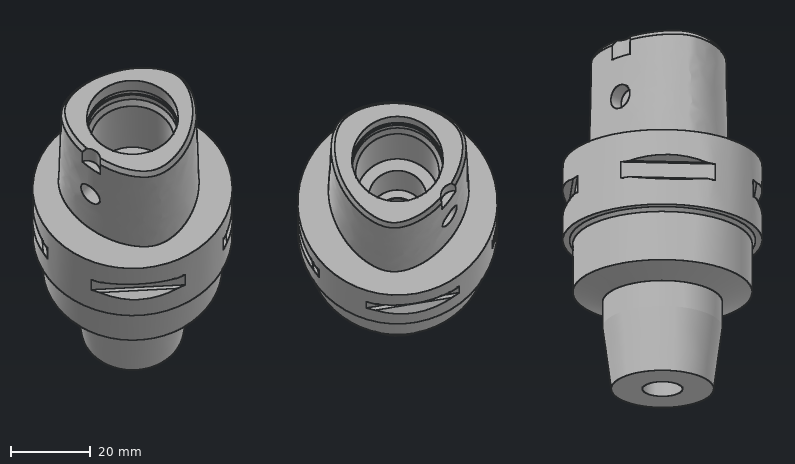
import cadquery as cq
import math

total_height = 90.0
flange_top = 60.0
flange_bottom = 40.0
flange_chamfer_end = 39.0
body_bottom = 26.0
shoulder_bottom = 23.3
nose_taper_top = 16.5

flange_radius = 25.0
flange_step_radius = 23.3
body_radius = 22.5
neck_radius = 15.0
nose_tip_radius = 12.9

shank_mean_radius = 17.6
lobe_rise = 1.125
shank_taper = 1 / 40
shank_chamfer_height = 1.35
shank_chamfer_width = 0.9
shank_outline_points = 48

mouth_radius = 11.4
bore_groove_radius = 11.9
bore_groove_start = 4.3
bore_groove_end = 6.1
mouth_depth = 8.0
mouth_cone_depth = 9.5
main_bore_radius = 10.4
main_bore_depth = 27.0
middle_bore_radius = 7.3
middle_bore_depth = 40.5
through_radius = 5.0
through_chamfer = 0.2

groove_height = 50.0
groove_floor_distance = 22.05
groove_floor_width = 4.3
groove_flare_distance = 23.0
groove_flare_angle = 30.0

notch_radius = 3.4
notch_depth = 5.2
notch_floor_y = -13.95
side_hole_radius = 3.15
side_hole_height = 74.0
side_hole_floor_y = -12.1


def lobed_point(mean_radius, angle):
    """Point of the lobed outline whose outward normal lies at this angle."""
    support = mean_radius - lobe_rise * math.sin(3 * angle)
    slope = -3 * lobe_rise * math.cos(3 * angle)
    x = support * math.cos(angle) - slope * math.sin(angle)
    y = support * math.sin(angle) + slope * math.cos(angle)
    return x, y


def lobed_outline(mean_radius, height):
    """Closed smooth lobed outline with one lobe toward +Y."""
    step = 2 * math.pi / shank_outline_points
    points = [lobed_point(mean_radius, math.pi / 2 + i * step) for i in range(shank_outline_points)]
    return cq.Workplane("XY", origin=(0, 0, height)).spline(points, periodic=True).close().val()


def make_body():
    profile = [
        (0, 0),
        (nose_tip_radius, 0),
        (neck_radius, nose_taper_top),
        (neck_radius, shoulder_bottom),
        (body_radius, body_bottom),
        (body_radius, flange_chamfer_end),
        (flange_step_radius, flange_bottom),
        (flange_radius, flange_bottom),
        (flange_radius, flange_top),
        (0, flange_top),
    ]
    return cq.Workplane("XZ").polyline(profile).close().revolve(360, (0, 0), (0, 1))


def make_shank():
    chamfer_start = total_height - shank_chamfer_height
    chamfer_radius = shank_mean_radius - shank_taper * (chamfer_start - flange_top)
    base = lobed_outline(shank_mean_radius, flange_top)
    rim = lobed_outline(chamfer_radius, chamfer_start)
    face = lobed_outline(chamfer_radius - shank_chamfer_width, total_height)
    taper = cq.Solid.makeLoft([base, rim], True)
    chamfer = cq.Solid.makeLoft([rim, face], True)
    return cq.Workplane(taper).union(cq.Workplane(chamfer))


def make_bore():
    middle_bore_floor = total_height - middle_bore_depth
    profile = [
        (0, 0),
        (through_radius, 0),
        (through_radius, middle_bore_floor - through_chamfer),
        (through_radius + through_chamfer, middle_bore_floor),
        (middle_bore_radius, middle_bore_floor),
        (middle_bore_radius, total_height - main_bore_depth),
        (main_bore_radius, total_height - main_bore_depth),
        (main_bore_radius, total_height - mouth_cone_depth),
        (mouth_radius, total_height - mouth_depth),
        (mouth_radius, total_height - bore_groove_end),
        (bore_groove_radius, total_height - bore_groove_end),
        (bore_groove_radius, total_height - bore_groove_start),
        (mouth_radius, total_height - bore_groove_start),
        (mouth_radius, total_height),
        (0, total_height),
    ]
    return cq.Workplane("XZ").polyline(profile).close().revolve(360, (0, 0), (0, 1))


def make_gripper_groove(direction):
    """Groove with square walls that flare toward the rim, facing the given direction in degrees."""
    flare_depth = flange_radius - groove_flare_distance
    half_floor = groove_floor_width / 2
    half_mouth = half_floor + flare_depth * math.tan(math.radians(groove_flare_angle))
    section = [
        (groove_floor_distance, groove_height - half_floor),
        (groove_flare_distance, groove_height - half_floor),
        (flange_radius, groove_height - half_mouth),
        (flange_radius, groove_height + half_mouth),
        (groove_flare_distance, groove_height + half_floor),
        (groove_floor_distance, groove_height + half_floor),
    ]
    groove = cq.Workplane("XZ").polyline(section).close().extrude(flange_radius, both=True)
    return groove.rotate((0, 0, 0), (0, 0, 1), direction)


def make_notch():
    floor = cq.Workplane("XY", origin=(0, notch_floor_y - notch_radius, total_height - notch_depth))
    return floor.circle(notch_radius).extrude(notch_depth)


def make_side_hole():
    floor = cq.Workplane("XZ", origin=(0, side_hole_floor_y, side_hole_height))
    return floor.circle(side_hole_radius).extrude(flange_radius + side_hole_floor_y)


result = make_body().union(make_shank()).cut(make_bore())
for groove_direction in (45, 135, 225, 315):
    result = result.cut(make_gripper_groove(groove_direction))
result = result.cut(make_notch()).cut(make_side_hole())